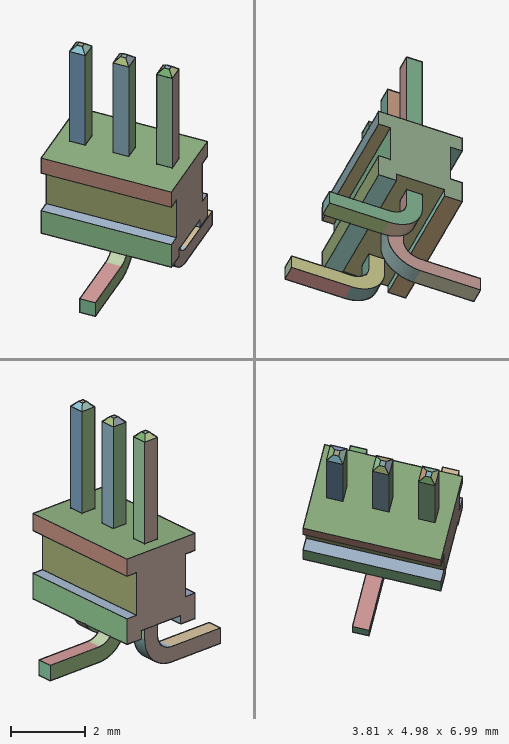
import cadquery as cq

pitch = 1.27
housing_length = 3.81
lead_span = 4.98
pin_top = 6.99

pin_width = 0.46
tip_taper = 0.155
bend_radius = 0.5

flange_half = 2.445 / 2
waist_half = 1.76 / 2
channel_half = 1.405 / 2
housing_bottom = 1.28
channel_top = 1.53
lower_flange_top = 2.04
upper_flange_bottom = 3.305
housing_top = 3.82

pin_half = pin_width / 2
foot_reach = lead_span / 2
outer_bend_radius = bend_radius + pin_width
bend_center_y = pin_half + bend_radius
bend_center_z = outer_bend_radius


def make_pin(x, side):
    """Square wire pin at x, with its foot bent towards +Y (side = 1) or -Y (side = -1)."""
    profile = (
        cq.Workplane("YZ")
        .moveTo(side * bend_center_y, 0)
        .lineTo(side * foot_reach, 0)
        .lineTo(side * foot_reach, pin_width)
        .lineTo(side * bend_center_y, pin_width)
        .radiusArc((side * pin_half, bend_center_z), side * bend_radius)
        .lineTo(side * pin_half, pin_top)
        .lineTo(-side * pin_half, pin_top)
        .lineTo(-side * pin_half, bend_center_z)
        .radiusArc((side * bend_center_y, 0), -side * outer_bend_radius)
        .close()
    )
    pin = profile.extrude(pin_half, both=True)
    pin = pin.faces(">Z").chamfer(tip_taper)
    return pin.translate((x, 0, 0))


def make_housing():
    """Insulator bar with a groove along each side and a channel underneath."""
    half_profile = [
        (0, channel_top),
        (channel_half, channel_top),
        (channel_half, housing_bottom),
        (flange_half, housing_bottom),
        (flange_half, lower_flange_top),
        (waist_half, lower_flange_top),
        (waist_half, upper_flange_bottom),
        (flange_half, upper_flange_bottom),
        (flange_half, housing_top),
        (0, housing_top),
    ]
    return (
        cq.Workplane("YZ")
        .polyline(half_profile)
        .mirrorY()
        .extrude(housing_length / 2, both=True)
    )


outer_pins = [make_pin(x, 1) for x in (-pitch, pitch)]

housing = make_housing().union(make_pin(0, -1))
for outer_pin in outer_pins:
    housing = housing.cut(outer_pin)

result = cq.Compound.makeCompound([
    housing.solids().val(),
    *[outer_pin.solids().val() for outer_pin in outer_pins],
])